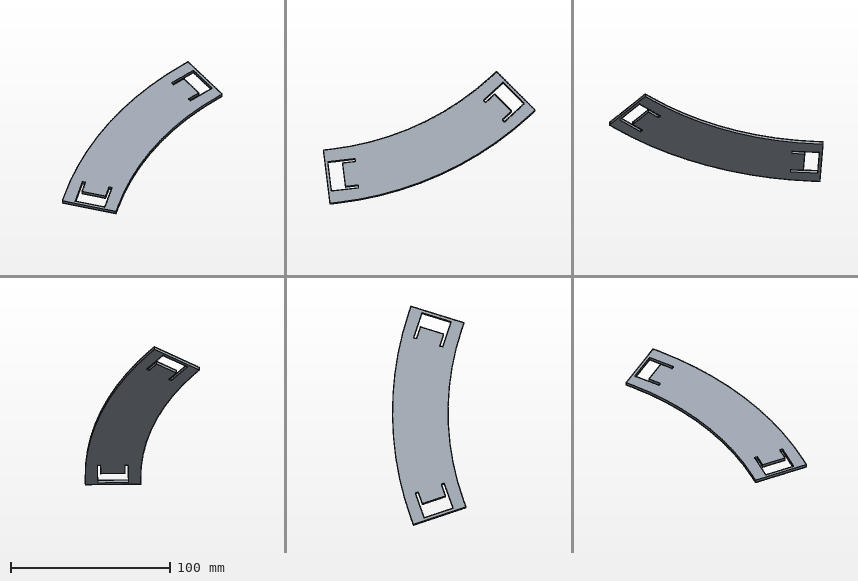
import cadquery as cq
import math

overall_length = 135.0
width = 35.0
thickness = 2.2
bend_angle = 37.0
straight_end = 4.7

window_width = 19.2
tab_width = 15.4
end_bar = 1.9
tab_tip_distance = 11.0
tab_root_distance = 19.0

bend = math.radians(bend_angle)
outer_radius = (overall_length - straight_end * (1 + math.cos(bend))) / math.sin(bend)
inner_radius = outer_radius - width
bend_center = (outer_radius, straight_end)


def bend_point(radius, angle):
    """Point on the bend, with the angle measured from its first end."""
    return (
        bend_center[0] - radius * math.cos(angle),
        bend_center[1] + radius * math.sin(angle),
    )


def end_point(radius):
    """Corner of the far end, one straight length beyond the bend."""
    x, y = bend_point(radius, bend)
    return (x + straight_end * math.sin(bend), y + straight_end * math.cos(bend))


def curved_strip():
    return (
        cq.Workplane("XY")
        .lineTo(*bend_point(outer_radius, 0))
        .threePointArc(bend_point(outer_radius, bend / 2), bend_point(outer_radius, bend))
        .lineTo(*end_point(outer_radius))
        .lineTo(*end_point(inner_radius))
        .lineTo(*bend_point(inner_radius, bend))
        .threePointArc(bend_point(inner_radius, bend / 2), bend_point(inner_radius, 0))
        .lineTo(width, 0)
        .close()
        .extrude(thickness)
    )


def block(block_width, start, end):
    """Plate-thick block centred on the strip, between two distances from the near end."""
    return (
        cq.Workplane("XY")
        .center(width / 2, (start + end) / 2)
        .rect(block_width, end - start)
        .extrude(thickness)
    )


def tab_cutout():
    window = block(window_width, end_bar, tab_root_distance)
    return window.cut(block(tab_width, tab_tip_distance, tab_root_distance))


def at_far_end(body):
    """Mirror a near-end body across the radial plane in the middle of the bend."""
    normal = (math.sin(bend / 2), math.cos(bend / 2), 0)
    return cq.Workplane("XY").newObject([body.val().mirror(normal, (*bend_center, 0))])


near_cutout = tab_cutout()
result = curved_strip().cut(near_cutout).cut(at_far_end(near_cutout))